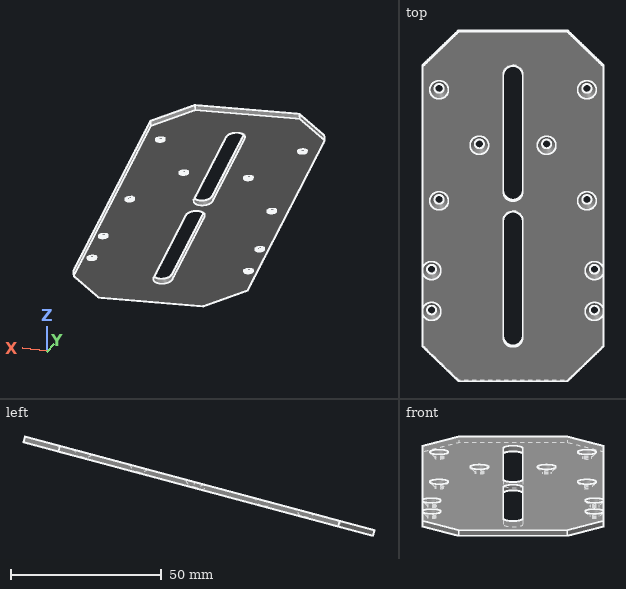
import cadquery as cq

PLATE_WIDTH = 60.0
PLATE_LENGTH = 120.0
PLATE_THICKNESS = 2.0
CORNER_CHAMFER = 12.0
TILT_ANGLE = 15.0

SLOT_WIDTH = 6.4
SLOT_END_SPACING = 40.0
SLOT_OFFSET = 25.0

HOLE_DIAMETER = 3.0
SINK_DIAMETER = 6.2
SINK_ANGLE = 90.0

UPPER_ROWS_CENTER = 21.0
UPPER_ROWS_PITCH = 19.05
UPPER_HALF_SPACING = 24.5
MIDDLE_HALF_SPACING = 11.15
LOWER_HALF_SPACING = 27.0
LOWER_ROW_Y = -36.0
LOWER_ROWS_PITCH = 14.0
HOLE_ROWS = [
    (UPPER_HALF_SPACING, UPPER_ROWS_CENTER + UPPER_ROWS_PITCH),
    (MIDDLE_HALF_SPACING, UPPER_ROWS_CENTER),
    (UPPER_HALF_SPACING, UPPER_ROWS_CENTER - UPPER_ROWS_PITCH),
    (LOWER_HALF_SPACING, LOWER_ROW_Y + LOWER_ROWS_PITCH),
    (LOWER_HALF_SPACING, LOWER_ROW_Y),
]


def make_plate():
    """Flat plate centred on the origin, with its four corners cut off."""
    plate = cq.Workplane("XY").box(PLATE_WIDTH, PLATE_LENGTH, PLATE_THICKNESS)
    return plate.edges("|Z").chamfer(CORNER_CHAMFER)


def cut_slots(plate):
    """Cut the two round-ended slots that run along Y."""
    slot_centers = [(0, SLOT_OFFSET), (0, -SLOT_OFFSET)]
    slot_length = SLOT_END_SPACING + SLOT_WIDTH
    return (
        plate.faces(">Z").workplane(origin=(0, 0, 0))
        .pushPoints(slot_centers)
        .slot2D(slot_length, SLOT_WIDTH, angle=90)
        .cutThruAll()
    )


def cut_screw_holes(plate):
    """Cut a mirrored pair of holes per row, countersunk from the top face."""
    hole_centers = [(side * x, y) for x, y in HOLE_ROWS for side in (-1, 1)]
    return (
        plate.faces(">Z").workplane(origin=(0, 0, 0))
        .pushPoints(hole_centers)
        .cskHole(HOLE_DIAMETER, SINK_DIAMETER, SINK_ANGLE)
    )


flat_plate = cut_screw_holes(cut_slots(make_plate()))
result = flat_plate.rotate((0, 0, 0), (1, 0, 0), TILT_ANGLE)